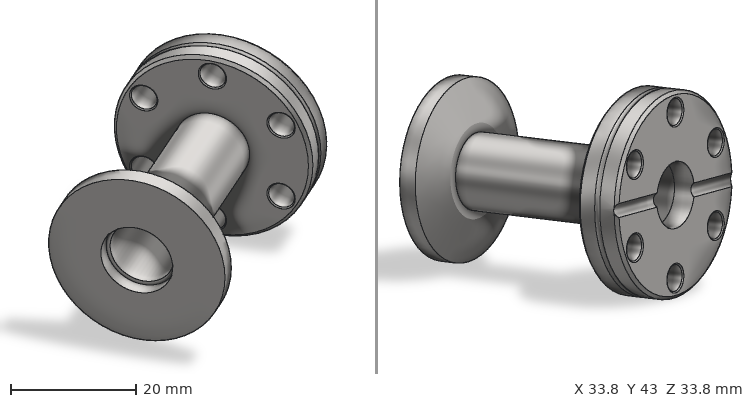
import cadquery as cq
import math

length = 43.0

bore_dia = 10.9
tube_dia = 12.7

flange_dia = 33.8
flange_thickness = 7.6
flange_chamfer = 0.55
rim_groove_width = 1.0
rim_groove_depth = 0.2
bolt_count = 6
bolt_dia = 4.4
bolt_circle_dia = 27.0
bolt_chamfer = 0.2
leak_groove_radius = 1.35
leak_groove_depth = 0.65
tube_seat_depth = flange_thickness / 2

clamp_dia = 30.0
clamp_rim = 3.0
clamp_cone = 1.98
clamp_cone_dia = 15.55
mouth_dia = 12.2
mouth_depth = 2.5

front_y = -length / 2
back_y = length / 2
flange_front_y = back_y - flange_thickness
tube_front_y = front_y + mouth_depth
tube_back_y = flange_front_y + tube_seat_depth


def cylinder(diameter, y_start, y_end):
    """Solid cylinder on the Y axis between two Y positions."""
    start_plane = cq.Workplane("XZ", origin=(0, y_start, 0))
    return start_plane.circle(diameter / 2).extrude(y_start - y_end)


def arc_radius(width, depth):
    """Radius of an arc with the given chord width and depth."""
    return ((width / 2) ** 2 + depth**2) / (2 * depth)


def make_rim_groove():
    """Ring that cuts the round-bottomed groove around the middle of the flange rim."""
    ring_radius = arc_radius(rim_groove_width, rim_groove_depth)
    ring_center_x = flange_dia / 2 - rim_groove_depth + ring_radius
    groove_y = (flange_front_y + back_y) / 2
    profile = cq.Workplane("XY").center(ring_center_x, groove_y).circle(ring_radius)
    return profile.revolve(360, (-ring_center_x, 0), (-ring_center_x, 1))


def make_bolt_hole(angle):
    """Cutter for one bolt hole, chamfered at both faces of the flange."""
    mouth_radius = bolt_dia / 2 + bolt_chamfer
    center_x = bolt_circle_dia / 2 * math.cos(angle)
    center_z = bolt_circle_dia / 2 * math.sin(angle)
    profile = [
        (0, flange_front_y),
        (mouth_radius, flange_front_y),
        (bolt_dia / 2, flange_front_y + bolt_chamfer),
        (bolt_dia / 2, back_y - bolt_chamfer),
        (mouth_radius, back_y),
        (0, back_y),
    ]
    cutter = cq.Workplane("XY").polyline(profile).close().revolve(360, (0, 0), (0, 1))
    return cutter.translate((center_x, 0, center_z))


def make_leak_groove():
    """Round-bottomed groove along X across the back face."""
    groove_y = back_y + leak_groove_radius - leak_groove_depth
    end_plane = cq.Workplane("YZ", origin=(-flange_dia / 2, 0, 0))
    return end_plane.center(groove_y, 0).circle(leak_groove_radius).extrude(flange_dia)


def make_bolted_flange():
    """Thick round flange with its rim groove, bolt holes, leak groove, bore and tube seat."""
    flange = cylinder(flange_dia, flange_front_y, back_y)
    flange = flange.edges("%CIRCLE").chamfer(flange_chamfer)
    flange = flange.cut(make_rim_groove())
    for index in range(bolt_count):
        angle = math.pi / 2 + index * 2 * math.pi / bolt_count
        flange = flange.cut(make_bolt_hole(angle))
    flange = flange.cut(make_leak_groove())
    flange = flange.cut(cylinder(bore_dia, flange_front_y, back_y))
    return flange.cut(cylinder(tube_dia, flange_front_y, tube_back_y))


def make_tube():
    """Plain tube that sits in a round seat in each flange."""
    outside = cylinder(tube_dia, tube_front_y, tube_back_y)
    return outside.cut(cylinder(bore_dia, tube_front_y, tube_back_y))


def make_clamp_flange():
    """Disc with a conical back; its narrower mouth stops the tube."""
    cone_start_y = front_y + clamp_rim
    cone_end_y = cone_start_y + clamp_cone
    profile = [
        (0, front_y),
        (clamp_dia / 2, front_y),
        (clamp_dia / 2, cone_start_y),
        (clamp_cone_dia / 2, cone_end_y),
        (0, cone_end_y),
    ]
    flange = cq.Workplane("XY").polyline(profile).close().revolve(360, (0, 0), (0, 1))
    flange = flange.cut(cylinder(mouth_dia, front_y, tube_front_y))
    return flange.cut(cylinder(tube_dia, tube_front_y, cone_end_y))


bolted_flange = make_bolted_flange()
tube = make_tube()
clamp_flange = make_clamp_flange()

result = cq.Compound.makeCompound([bolted_flange.val(), tube.val(), clamp_flange.val()])